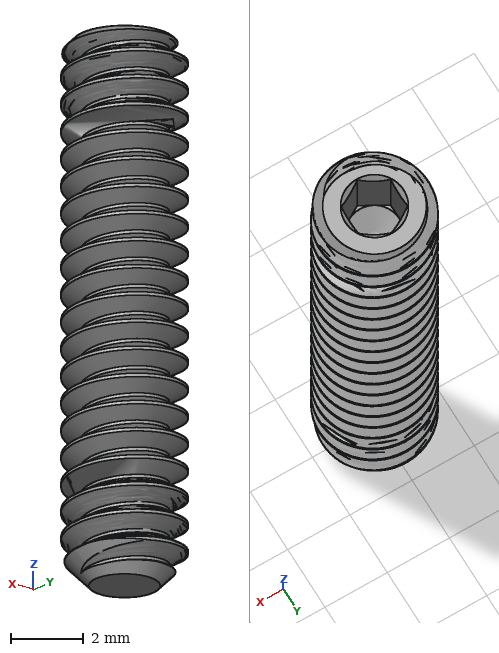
import cadquery as cq
import math

length = 15.88
major_diameter = 3.51
major_radius = major_diameter / 2
root_radius = 1.24
top_face_radius = 1.43
tip_face_radius = 0.98
crest_clearance = 0.16

pitch = 0.8
crest_width = pitch / 8
flank_angle = math.radians(30)
crest_height_at_plus_x = 0.65
thread_run_out = 2 * pitch
core_run_out = 4 * pitch
root_embed = 0.02

hex_across_flats = 1.59
hex_across_corners = hex_across_flats / math.cos(math.pi / 6)
hex_depth = 1.9
drill_point_angle = math.radians(60)
countersink_radius = 0.94


def downward_cone(radius, bottom, height):
    """Cone about the Z axis with its apex at the bottom."""
    return cq.Workplane(obj=cq.Solid.makeCone(0, radius, height, cq.Vector(0, 0, bottom)))


def thread_ridge():
    """Helical ridge running at least a full turn past both ends of the screw."""
    base_radius = root_radius - root_embed
    crest_half = crest_width / 2
    base_half = crest_half + (major_radius - base_radius) * math.tan(flank_angle)
    start = crest_height_at_plus_x - thread_run_out
    helix_length = length + thread_run_out + pitch
    helix = cq.Wire.makeHelix(pitch, helix_length, root_radius).translate(cq.Vector(0, 0, start))
    profile = (
        cq.Workplane("XZ")
        .moveTo(base_radius, start - base_half)
        .lineTo(major_radius, start - crest_half)
        .lineTo(major_radius, start + crest_half)
        .lineTo(base_radius, start + base_half)
        .close()
    )
    return profile.sweep(cq.Workplane(obj=helix), isFrenet=True)


def end_envelope():
    """Flat ends with 45 degree chamfers, clear of the thread crests between them."""
    outer_radius = major_radius + crest_clearance
    top_chamfer = outer_radius - top_face_radius
    tip_chamfer = outer_radius - tip_face_radius
    return (
        cq.Workplane("XZ")
        .moveTo(0, 0)
        .lineTo(tip_face_radius, 0)
        .lineTo(outer_radius, tip_chamfer)
        .lineTo(outer_radius, length - top_chamfer)
        .lineTo(top_face_radius, length)
        .lineTo(0, length)
        .close()
        .revolve(360, (0, 0, 0), (0, 1, 0))
    )


def socket():
    """Hexagon with flats facing X, a drill-point bottom and a countersunk mouth."""
    hexagon = (
        cq.Workplane("XY", origin=(0, 0, length - hex_depth))
        .transformed(rotate=(0, 0, 90))
        .polygon(6, hex_across_corners)
        .extrude(hex_depth)
    )
    drill_radius = hex_across_flats / 2
    point_depth = drill_radius / math.tan(drill_point_angle)
    drill_point = downward_cone(drill_radius, length - hex_depth - point_depth, point_depth)
    mouth = downward_cone(countersink_radius, length - countersink_radius, countersink_radius)
    return hexagon.union(drill_point).union(mouth)


core_length = length + 2 * core_run_out
core = cq.Workplane("XY", origin=(0, 0, -core_run_out)).circle(root_radius).extrude(core_length)
threaded_rod = core.union(thread_ridge())
result = threaded_rod.intersect(end_envelope()).cut(socket())